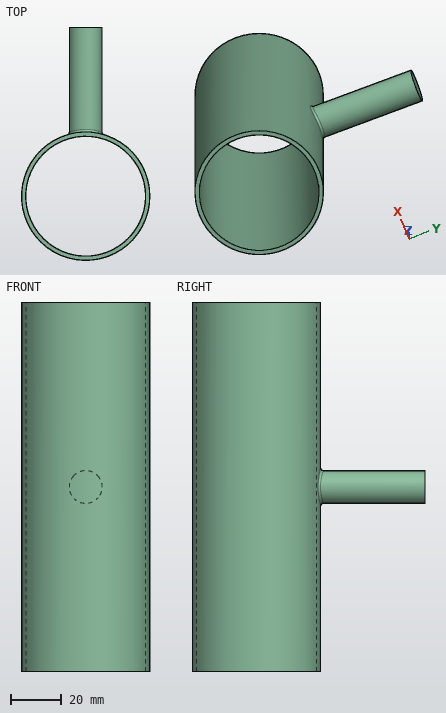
import cadquery as cq

tube_length = 146.0
tube_diameter = 50.8
tube_wall = 1.8
tube_radius = tube_diameter / 2

rod_diameter = 13.0
rod_reach = 66.7
weld_radius = 1.0


def make_cylinder(diameter):
    return cq.Workplane("XY").circle(diameter / 2).extrude(tube_length)


def make_rod():
    return (
        cq.Workplane("XZ", origin=(0, 0, tube_length / 2))
        .circle(rod_diameter / 2)
        .extrude(-rod_reach)
    )


def add_weld(body):
    """Fillet the closed edge where the rod meets the tube."""
    near_joint = cq.selectors.BoxSelector(
        (-rod_diameter, tube_radius - rod_diameter / 2, tube_length / 2 - rod_diameter),
        (rod_diameter, tube_radius + weld_radius, tube_length / 2 + rod_diameter),
        boundingbox=True,
    )
    return body.edges(near_joint).fillet(weld_radius)


body = add_weld(make_cylinder(tube_diameter).union(make_rod()))
result = body.cut(make_cylinder(tube_diameter - 2 * tube_wall))